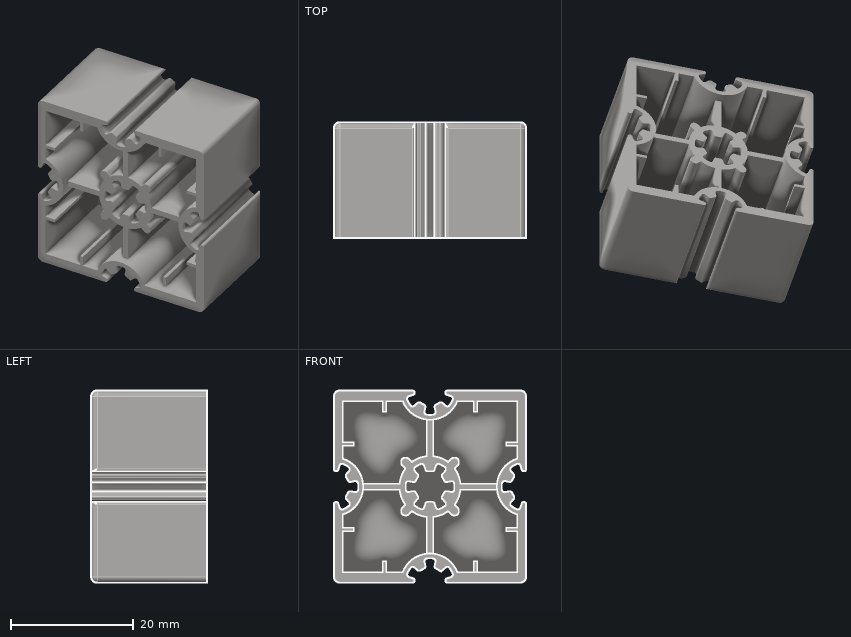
import cadquery as cq
import math


side = 31.5
depth = 19.0
half_side = side / 2
corner_radius = 1.0
back_radius = 1.0
side_wall = 1.5
top_wall = 1.75
end_plate = 2.0
floor = depth - end_plate

socket_radius = 4.0
tooth_tip_radius = 2.5
tooth_tip_width = 1.32
tooth_flank_angle = 18.0
tooth_count = 6
tooth_round = 0.42
lip_round = 0.38
half_tip = tooth_tip_width / 2
edge_reach = 0.1
sharp_tooth_angle = -30
groove_wall_radius = 4.8

hub_radius = 5.0
hub_recess = 1.5
web_thickness = 1.0
lobe_radius = 0.75
lobe_distance = 5.65

rib_thickness = 0.55
rib_height = 1.75
top_rib_offset = 7.45
side_rib_offset = 7.0
short_rib_recess = 1.5

GROOVES = [
    (half_side, 0, 0),
    (0, half_side, 90),
    (-half_side, 0, 180),
    (0, -half_side, 270),
]


def box(x_size, z_size, front, back):
    """Box centred on the part axis, reaching from y = front to y = back."""
    return cq.Workplane("XY").box(x_size, back - front, z_size).translate((0, (front + back) / 2, 0))


def cylinder(radius, front, back):
    """Cylinder on the part axis, reaching from y = front to y = back."""
    return cq.Workplane("XZ", origin=(0, front, 0)).circle(radius).extrude(front - back)


def turned(shape, angle):
    """Shape turned about the part axis."""
    return shape.rotate((0, 0, 0), (0, 1, 0), angle)


def tip_corner(tooth_angle, edge_side):
    """Position (x, z) of a tooth tip corner; the angle is measured from +X towards +Z."""
    distance = math.hypot(tooth_tip_radius, half_tip)
    angle = math.radians(tooth_angle) + edge_side * math.atan2(half_tip, tooth_tip_radius)
    return distance * math.cos(angle), distance * math.sin(angle)


def edges_in(x, z, x_reach, z_reach):
    """Selector for the edges near the line through (x, z) along Y."""
    return cq.selectors.BoxSelector((x - x_reach, -1, z - z_reach), (x + x_reach, depth + 1, z + z_reach))


def make_socket(front, back, sharp_corners=()):
    """Socket volume: slots point along +X and -X, teeth along +Z and -Z."""
    root_radius = socket_radius + tooth_round
    half_root = half_tip + (root_radius - tooth_tip_radius) * math.tan(math.radians(tooth_flank_angle))
    tooth = (
        cq.Workplane("XZ", origin=(0, front, 0))
        .moveTo(-half_tip, tooth_tip_radius)
        .lineTo(half_tip, tooth_tip_radius)
        .lineTo(half_root, root_radius)
        .lineTo(-half_root, root_radius)
        .close()
        .extrude(front - back)
    )
    socket = cylinder(socket_radius, front, back)
    for index in range(tooth_count):
        socket = socket.cut(turned(tooth, index * 360 / tooth_count))
    rounded = cq.selectors.ParallelDirSelector(cq.Vector(0, 1, 0))
    for x, z in sharp_corners:
        rounded = rounded - edges_in(x, z, edge_reach, edge_reach)
    return socket.edges(rounded).fillet(tooth_round)


def make_blank():
    """Solid block with rounded corners and a rounded back edge."""
    block = box(side, side, 0, depth).edges("|Y").fillet(corner_radius)
    return block.faces(">Y").edges().fillet(back_radius)


def make_grooved_prism():
    """Square prism with a half socket along each side and rounded groove lips."""
    lip_corners = [tip_corner(angle, edge_side) for angle in (90, -90) for edge_side in (-1, 1)]
    prism = box(side, side, 0, depth)
    for x, z, turn in GROOVES:
        sharp_corners = list(lip_corners)
        if z < 0:
            sharp_corners.append(tip_corner(sharp_tooth_angle, -1))
        socket = make_socket(0, depth, sharp_corners)
        prism = prism.cut(turned(socket, turn).translate((x, 0, z)))
        along = tooth_tip_radius + edge_reach
        across = half_tip + edge_reach
        lips = edges_in(x, z, across, along) if x else edges_in(x, z, along, across)
        prism = prism.edges("|Y").edges(lips).fillet(lip_round)
    return prism


def make_cavity():
    """Hollow inside the walls, less the groove walls and the stub ribs."""
    inner_x = half_side - side_wall
    inner_z = half_side - top_wall
    cavity = box(2 * inner_x, 2 * inner_z, 0, floor)
    groove_wall = cylinder(groove_wall_radius, 0, floor)
    for x, z, _ in GROOVES:
        cavity = cavity.cut(groove_wall.translate((x, 0, z)))
    side_rib = box(rib_height, rib_thickness, 0, floor)
    for x_sign in (-1, 1):
        for z_sign in (-1, 1):
            rib_front = short_rib_recess if x_sign > 0 > z_sign else 0
            top_rib = box(rib_thickness, rib_height, rib_front, floor)
            rib_z = z_sign * (inner_z - rib_height / 2)
            cavity = cavity.cut(top_rib.translate((x_sign * top_rib_offset, 0, rib_z)))
            rib_x = x_sign * (inner_x - rib_height / 2)
            cavity = cavity.cut(side_rib.translate((rib_x, 0, z_sign * side_rib_offset)))
    return cavity


def make_hub():
    """Recessed hub with a blind socket and four diagonal lobes, joined to the groove walls by cross webs."""
    web_length = side - 2 * groove_wall_radius
    hub = cylinder(hub_radius, hub_recess, floor)
    hub = hub.union(box(web_length, web_thickness, hub_recess, floor))
    hub = hub.union(box(web_thickness, web_length, hub_recess, floor))
    lobe = cylinder(lobe_radius, hub_recess, floor).translate((lobe_distance, 0, 0))
    arm = box(lobe_distance, 2 * lobe_radius, hub_recess, floor).translate((lobe_distance / 2, 0, 0))
    for angle in (45, 135, 225, 315):
        hub = hub.union(turned(lobe.union(arm), angle))
    return hub.cut(make_socket(hub_recess, floor))


result = make_blank().intersect(make_grooved_prism()).cut(make_cavity()).union(make_hub())